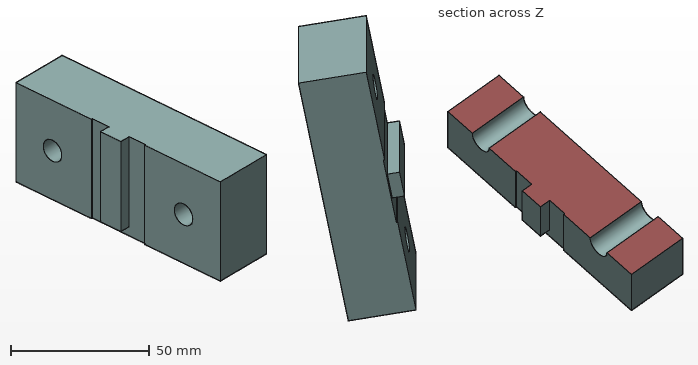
import cadquery as cq

length = 99.9
depth = 25.0
height = 42.6

groove_width = 26.1
groove_depth = 0.5

key_width = 10.0
key_projection = 4.0
key_bottom = 4.0

hole_diameter = 9.0
hole_spacing = 64.0
hole_height = 21.0


def box_between(width, y_front, y_back, z_bottom, z_top):
    """Box centred on x = 0 with the given Y and Z limits."""
    size = (width, y_back - y_front, z_top - z_bottom)
    corner = (-width / 2, y_front, z_bottom)
    return cq.Workplane("XY").box(*size, centered=False).translate(corner)


block = box_between(length, 0, depth, 0, height)
groove = box_between(groove_width, 0, groove_depth, 0, height)
key = box_between(key_width, -key_projection, groove_depth, key_bottom, height)

half_spacing = hole_spacing / 2
holes = (
    cq.Workplane("XZ", origin=(0, depth, 0))
    .pushPoints([(-half_spacing, hole_height), (half_spacing, hole_height)])
    .circle(hole_diameter / 2)
    .extrude(depth)
)

result = block.cut(groove).union(key).cut(holes)